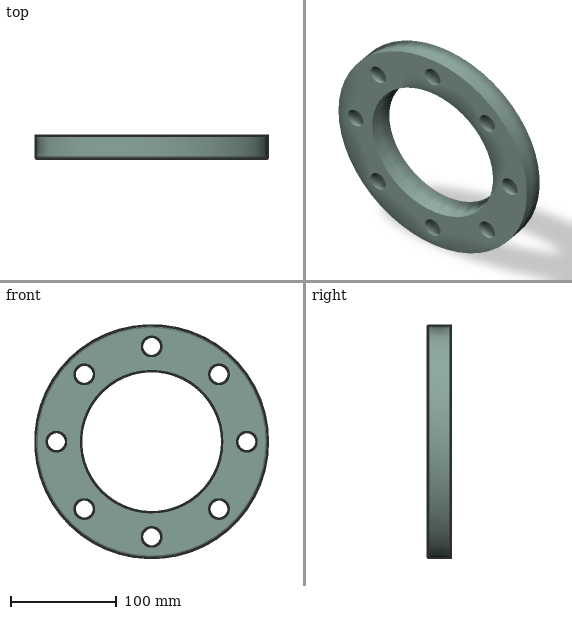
import cadquery as cq

outer_diameter = 220.0
thickness = 22.0
front_edge_radius = 2.0

bore_front_diameter = 133.0
bore_back_diameter = 140.8

bolt_count = 8
bolt_hole_diameter = 18.0
bolt_circle_diameter = 180.0


def make_disc():
    """Solid disc with a rounded outer edge on the front face."""
    disc = cq.Workplane("XZ").circle(outer_diameter / 2).extrude(thickness)
    return disc.faces("<Y").edges().fillet(front_edge_radius)


def make_bore():
    """Tapered plug that is removed from the middle of the disc."""
    return (
        cq.Workplane("XZ")
        .circle(bore_back_diameter / 2)
        .workplane(offset=thickness)
        .circle(bore_front_diameter / 2)
        .loft(ruled=True)
    )


def make_bolt_holes():
    """Through-hole cylinders, evenly spaced with the first one on the +X axis."""
    return (
        cq.Workplane("XZ")
        .polarArray(bolt_circle_diameter / 2, 0, 360, bolt_count)
        .circle(bolt_hole_diameter / 2)
        .extrude(thickness)
    )


result = make_disc().cut(make_bore()).cut(make_bolt_holes())